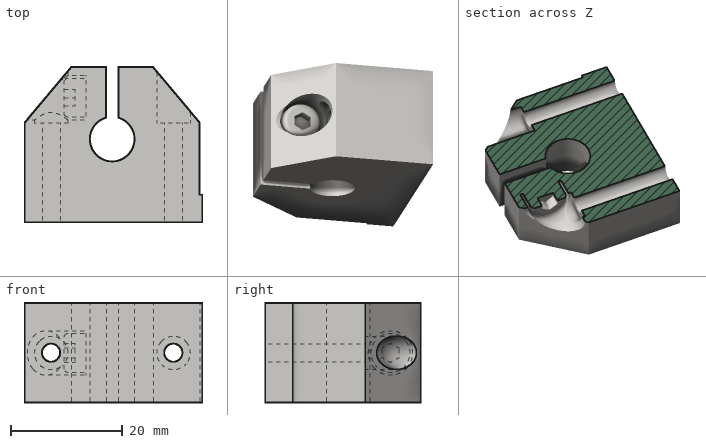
import cadquery as cq
import math

overall_width = 32.0
depth = 28.0
height = 18.0
body_width = 31.52
lip_depth = 5.0
corner_cut_depth = 10.0
corner_cut_angle = 40.0
corner_cut_width = corner_cut_depth * math.tan(math.radians(corner_cut_angle))

mid_x = body_width / 2
mid_z = height / 2

shaft_diameter = 8.0
shaft_y = 15.0
slot_width = 2.2

mount_hole_diameter = 3.23
mount_hole_spacing = 22.0
mount_counterbore_diameter = 6.0
mount_seat_y = depth - corner_cut_depth

screw_y = depth - 5.5
screw_pocket_diameter = 8.0
screw_seat_x = 11.0
head_diameter = 7.0
head_height = 4.0
head_rounding = 0.8
socket_across_flats = 3.0
socket_depth = 2.0


def block():
    """Body with sloped rear corners and a low foot along the front of the +X side."""
    outline = [
        (0, 0),
        (overall_width, 0),
        (overall_width, lip_depth),
        (body_width, lip_depth),
        (body_width, depth - corner_cut_depth),
        (body_width - corner_cut_width, depth),
        (corner_cut_width, depth),
        (0, depth - corner_cut_depth),
    ]
    return cq.Workplane("XY").polyline(outline).close().extrude(height)


def shaft_clamp():
    """Vertical shaft bore with the slot that opens it to the rear face."""
    bore = cq.Workplane("XY").center(mid_x, shaft_y).circle(shaft_diameter / 2).extrude(height)
    slot_length = depth - shaft_y
    slot = (
        cq.Workplane("XY")
        .center(mid_x, shaft_y + slot_length / 2)
        .rect(slot_width, slot_length)
        .extrude(height)
    )
    return bore.union(slot)


def cylinder_along_x(diameter, start_x, end_x):
    """Cylinder on the clamp screw axis."""
    return (
        cq.Workplane("YZ", origin=(start_x, screw_y, mid_z))
        .circle(diameter / 2)
        .extrude(end_x - start_x)
    )


def cylinder_along_y(diameter, x, start_y, end_y):
    """Cylinder at mid height, running front to rear."""
    return (
        cq.Workplane("XZ", origin=(x, end_y, mid_z))
        .circle(diameter / 2)
        .extrude(end_y - start_y)
    )


def mounting_hole(x):
    """Through hole with a counterbore that enters from the sloped corner."""
    hole = cylinder_along_y(mount_hole_diameter, x, 0, depth)
    counterbore = cylinder_along_y(mount_counterbore_diameter, x, mount_seat_y, depth)
    return hole.union(counterbore)


def screw_head():
    """Rounded socket head resting on the bottom of the screw pocket."""
    head_top_x = screw_seat_x - head_height
    head = cylinder_along_x(head_diameter, head_top_x, screw_seat_x)
    head = head.faces("<X").edges().fillet(head_rounding)
    socket_across_corners = socket_across_flats / math.cos(math.radians(30))
    socket = (
        cq.Workplane("YZ", origin=(head_top_x, screw_y, mid_z))
        .transformed(rotate=(0, 0, 90))
        .polygon(6, socket_across_corners)
        .extrude(socket_depth)
    )
    return head.cut(socket)


result = block().cut(shaft_clamp())
for side in (-1, 1):
    result = result.cut(mounting_hole(mid_x + side * mount_hole_spacing / 2))
result = result.cut(cylinder_along_x(screw_pocket_diameter, 0, screw_seat_x))
result = result.union(screw_head())